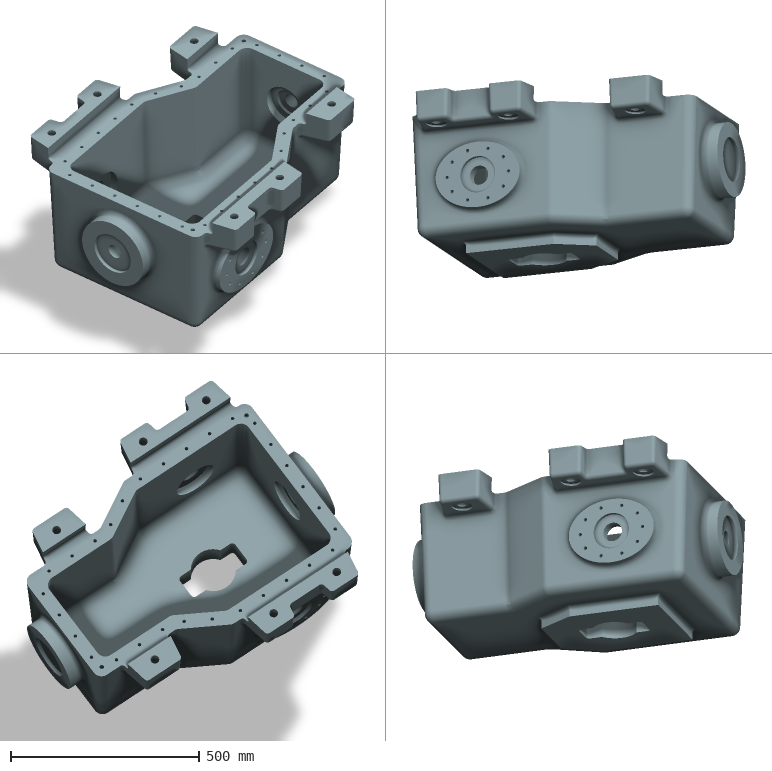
import cadquery as cq
import math


overall_width = 680.0
overall_length = 860.0

rim_length = 780.0
wide_half = 250.0
narrow_half = 175.5
wide_length = 400.0
neck_angle = 30.0
housing_height = 330.0
rim_width = 40.0
cavity_depth = 290.0
draft = 2.0
body_radius = 25.0
cast_radius = 10.0

lug_rise = 39.5
lug_tip_drop = 40.0
lug_step_offset = 20.0
lug_step_radius = 7.0
lug_flank_angle = 10.0
lug_bottom_angle = 5.0
lug_root_overlap = 20.0
rear_lug_y = (172.0, 311.0)
front_lug_y = (-351.0, -27.0)
front_lug_notch_y = (-242.5, -136.0)
notch_depth = 36.0
lug_hole_diameter = 23.0
lug_spotface_diameter = 55.0
lug_spotface_z = -40.0
lug_hole_points = [(226.0, 245.0), (300.0, -89.0), (300.0, -293.0)]

boss_root = 69.0

end_boss_diameter = 200.0
end_boss_z = -140.0
end_recess_diameter = 119.5
end_recess_depth = 10.0
end_hole_diameter = 40.0
end_bore_steps = [(119.5, 21.0), (80.0, 29.0)]
end_hole_web = 9.0

side_boss_length = 240.0
side_boss_height = 180.0
side_boss_half_span = 265.0
side_boss_y = -190.0
side_boss_z = -185.0
side_recess_diameter = 100.0
side_recess_depth = 10.0
side_hole_diameter = 52.5
side_bore_diameter = 119.5
side_bore_depth = 21.0
side_screw_diameter = 9.5
side_screw_depth = 15.0
side_screw_reach = 88.0
side_screw_offsets = [(73.0, 40.0), (29.0, 68.0)]

pad_thickness = 30.0
pad_half_width = 135.0
pad_y = (-275.0, -25.0, 75.0)
opening_y = -104.0
opening_diameter = 119.5
opening_slot_width = 70.5
opening_slot_length = 180.0

drill_point_angle = 118.0
rim_hole_diameter = 9.5
rim_hole_depth = 20.0
wide_row_count = 5
narrow_row_count = 3
front_pairs = 3
rear_pairs = 2
dowel_diameter = 12.0
dowel_points = [(-150.0, 364.0), (216.0, -365.0)]
row_pitch = 75.0
wide_row_start = -30.0
narrow_row_start = 320.0
neck_row_shift = 9.5
end_pitch = 74.0

joint_margin = 9.0
cut_overlap = 9.0

lugs = [
    (narrow_half, rear_lug_y, None),
    (wide_half, front_lug_y, front_lug_notch_y),
]

end_y = rim_length / 2
wide_end_y = -end_y + wide_length
neck_run = (wide_half - narrow_half) / math.tan(math.radians(neck_angle))
narrow_end_y = wide_end_y + neck_run
lug_reach = overall_width / 2 - wide_half
floor_thickness = housing_height - cavity_depth
lug_flank_slope = math.tan(math.radians(lug_flank_angle))
draft_slope = math.tan(math.radians(draft))
end_wall_y = end_y - rim_width + end_boss_z * draft_slope


def mirrored(points):
    """The points and their mirror images across the YZ plane."""
    return points + [(-x, y) for x, y in reversed(points)]


def symmetric(shape):
    """The shape joined with its mirror image across the YZ plane."""
    return shape.union(shape.mirror("YZ"))


def outline_points(inset):
    """Corners of the bottle-shaped rim outline with every side moved inward by the inset."""
    neck_shift = inset * math.tan(math.radians(neck_angle / 2))
    right_side = [
        (wide_half - inset, inset - end_y),
        (wide_half - inset, wide_end_y - neck_shift),
        (narrow_half - inset, narrow_end_y - neck_shift),
        (narrow_half - inset, end_y - inset),
    ]
    return mirrored(right_side)


def drafted_block(inset, depth):
    """Block below the rim with drafted walls, rounded upright edges and a rounded bottom edge."""
    block = (
        cq.Workplane("XY")
        .polyline(outline_points(inset))
        .close()
        .workplane(offset=-depth)
        .polyline(outline_points(inset + depth * draft_slope))
        .close()
        .loft(ruled=True, combine=True)
    )
    return block.edges("not >Z").fillet(body_radius)


def lug_notch(tip, notch_y):
    """Drafted clearance between the two arms of a lug, open toward +X."""
    depth = lug_rise + 2 * lug_tip_drop
    front, back = notch_y
    inner = tip - notch_depth
    flank = notch_depth * lug_flank_slope
    outline = [(inner, front), (tip, front - flank), (tip, back + flank), (inner, back)]
    return (
        cq.Workplane("XY", origin=(0, 0, lug_rise - depth))
        .polyline(outline)
        .close()
        .offset2D(depth * draft_slope, "intersection")
        .extrude(depth, taper=draft)
    )


def lug(rim_half, y_range, notch_y=None):
    """Lug on the +X side, with drafted sides, a sloping underside and a step down to the rim."""
    front, back = y_range
    root = rim_half - lug_root_overlap
    step = rim_half + lug_step_offset
    tip = rim_half + lug_reach
    tip_flank = (tip - step) * lug_flank_slope
    root_flank = (step - root) * lug_flank_slope
    root_drop = lug_tip_drop + (tip - root) * math.tan(math.radians(lug_bottom_angle))
    outline = [
        (root, front - root_flank),
        (tip, front + tip_flank),
        (tip, back - tip_flank),
        (root, back + root_flank),
    ]
    side_profile = [(root, lug_rise), (tip, lug_rise), (tip, -lug_tip_drop), (root, -root_drop)]
    block = (
        cq.Workplane("XY", origin=(0, 0, lug_rise))
        .polyline(outline)
        .close()
        .extrude(-lug_rise - root_drop, taper=draft)
    )
    if notch_y:
        block = block.cut(lug_notch(tip, notch_y))
    swept_profile = (
        cq.Workplane("XZ", origin=(0, back + root_flank, 0))
        .polyline(side_profile)
        .close()
        .extrude(back - front + 2 * root_flank)
    )
    block = block.intersect(swept_profile)
    outer_half = cq.selectors.BoxSelector((step, front, -lug_tip_drop), (tip, back, lug_rise))
    block = block.edges("not #Z").edges(outer_half).fillet(cast_radius)
    block = block.faces("<Z").edges().fillet(cast_radius)
    return block.cut(lug_step(rim_half, y_range))


def lug_step(rim_half, y_range):
    """Clearance above the rim on the +X side, rounded where it meets the lug."""
    front, back = y_range
    step = rim_half + lug_step_offset
    return (
        cq.Workplane("XY")
        .box(step, back - front + 2 * cut_overlap, lug_rise, centered=False)
        .edges("|Y and >X and <Z")
        .fillet(lug_step_radius)
        .translate((0, front - cut_overlap, 0))
    )


def end_boss():
    """Round boss on the +Y end, before it is joined to the wall."""
    return (
        cq.Workplane("XZ", origin=(0, overall_length / 2, end_boss_z))
        .circle(end_boss_diameter / 2)
        .extrude(boss_root)
    )


def side_boss():
    """Oval boss on the +X side, before it is joined to the wall."""
    return (
        cq.Workplane("YZ", origin=(side_boss_half_span, side_boss_y, side_boss_z))
        .ellipse(side_boss_length / 2, side_boss_height / 2)
        .extrude(-boss_root)
    )


def joined(shape, part, corner, opposite_corner):
    """The shape with the part added and the joint edges in the given box rounded."""
    region = cq.selectors.BoxSelector(corner, opposite_corner)
    return shape.union(part).edges(region).fillet(cast_radius)


def stepped_bore(plane, steps):
    """Round cutter of (diameter, depth) steps below the plane, starting a little above it."""
    cutter = cq.Workplane(plane)
    start = cutter.workplane(offset=cut_overlap)
    for diameter, depth in steps:
        cutter = cutter.union(start.circle(diameter / 2).extrude(-depth - cut_overlap))
    return cutter


def drilled_holes(plane, points, diameter, depth):
    """Blind holes with conical ends, going against the normal of the plane."""
    radius = diameter / 2
    tip_depth = depth + radius / math.tan(math.radians(drill_point_angle / 2))
    half_profile = [(0, 0), (radius, 0), (radius, -depth), (0, -tip_depth)]
    hole = cq.Workplane("XZ").polyline(half_profile).close().revolve(360, (0, 0), (0, 1)).val()
    return cq.Workplane(plane).pushPoints(points).eachpoint(hole, useLocalCoordinates=True)


def floor_pad():
    """Pad under the floor, narrowing toward +Y at the neck angle."""
    front, bend, back = pad_y
    back_half = pad_half_width - (back - bend) * math.tan(math.radians(neck_angle))
    points = mirrored([(pad_half_width, front), (pad_half_width, bend), (back_half, back)])
    height = pad_thickness + floor_thickness / 2
    return (
        cq.Workplane("XY", origin=(0, 0, -housing_height - pad_thickness))
        .polyline(points)
        .close()
        .extrude(height)
    )


def keyed_opening():
    """Round opening with a rounded slot across it, through the floor and the pad."""
    bottom = cq.Workplane("XY", origin=(0, opening_y, -housing_height - pad_thickness))
    height = pad_thickness + floor_thickness
    slot = bottom.rect(opening_slot_width, opening_slot_length).extrude(height)
    slot = slot.edges("|Z").fillet(cast_radius)
    return bottom.circle(opening_diameter / 2).extrude(height).union(slot)


def end_bores():
    """Outer recess and stepped inner bore of the +Y end."""
    face = cq.Plane((0, overall_length / 2, end_boss_z), (1, 0, 0), (0, 1, 0))
    wall = cq.Plane((0, end_wall_y, end_boss_z), (1, 0, 0), (0, -1, 0))
    recess = stepped_bore(face, [(end_recess_diameter, end_recess_depth)])
    return recess.union(stepped_bore(wall, end_bore_steps))


def end_hole():
    """Hole through the -Y end, continued across the cavity to a blind end in the +Y end."""
    front = -overall_length / 2
    back = overall_length / 2 - end_recess_depth - end_hole_web
    start = cq.Workplane("XZ", origin=(0, back, end_boss_z))
    return start.circle(end_hole_diameter / 2).extrude(back - front)


def side_bores():
    """Outer recess, through hole, inner bore and screw holes of the +X side."""
    face = cq.Plane((side_boss_half_span, side_boss_y, side_boss_z), (0, 1, 0), (1, 0, 0))
    wall_x = wide_half - rim_width + side_boss_z * draft_slope
    wall = cq.Plane((wall_x, side_boss_y, side_boss_z), (0, 1, 0), (-1, 0, 0))
    through = side_boss_half_span - wall_x + cut_overlap
    outer = [(side_recess_diameter, side_recess_depth), (side_hole_diameter, through)]
    cutter = stepped_bore(face, outer).union(stepped_bore(wall, [(side_bore_diameter, side_bore_depth)]))
    screw_points = [(-side_screw_reach, 0), (side_screw_reach, 0)]
    for along, up in side_screw_offsets:
        screw_points += [(along, up), (-along, up), (-along, -up), (along, -up)]
    return cutter.union(drilled_holes(face, screw_points, side_screw_diameter, side_screw_depth))


def lug_holes():
    """Through holes of the +X lugs with flat seats on their undersides."""
    seat = cq.Workplane("XY", origin=(0, 0, lug_spotface_z)).pushPoints(lug_hole_points)
    seats = seat.circle(lug_spotface_diameter / 2).extrude(-lug_tip_drop / 2)
    return seats.union(seat.circle(lug_hole_diameter / 2).extrude(lug_rise - lug_spotface_z))


def rim_hole_points():
    """Centers of the screw holes along the middle of the rim."""
    wide_x = wide_half - rim_width / 2
    narrow_x = narrow_half - rim_width / 2
    row_y = end_y - rim_width / 2
    right_side = [(wide_x, wide_row_start - i * row_pitch) for i in range(wide_row_count)]
    right_side += [(narrow_x, narrow_row_start - i * row_pitch) for i in range(narrow_row_count)]
    neck_shift = rim_width / 2 * math.tan(math.radians(neck_angle / 2))
    neck_x = (wide_x + narrow_x) / 2
    neck_y = (wide_end_y + narrow_end_y) / 2 - neck_shift
    angle = math.radians(neck_angle)
    for offset in (neck_row_shift - row_pitch / 2, neck_row_shift + row_pitch / 2):
        right_side.append((neck_x - offset * math.sin(angle), neck_y + offset * math.cos(angle)))
    right_side += [((i + 0.5) * end_pitch, -row_y) for i in range(front_pairs)]
    right_side += [((i + 0.5) * end_pitch, row_y) for i in range(rear_pairs)]
    return mirrored(right_side)


def add_to_side(shape, side):
    """The shape with the lugs and the oval boss of one side: 1 for +X, -1 for -X."""
    for rim_half, y_range, notch_y in lugs:
        part = lug(rim_half, y_range, notch_y)
        corner = (side * (rim_half - joint_margin), y_range[0] - joint_margin, -2 * lug_tip_drop)
        opposite = (side * rim_half, y_range[1] + joint_margin, -lug_step_radius)
        shape = joined(shape, part if side > 0 else part.mirror("YZ"), corner, opposite)
    part = side_boss()
    corner = (side * (wide_half - lug_root_overlap), side_boss_y - joint_margin, side_boss_z - joint_margin)
    opposite = (side * wide_half, side_boss_y + joint_margin, side_boss_z + joint_margin)
    return joined(shape, part if side > 0 else part.mirror("YZ"), corner, opposite)


def add_to_end(shape, end):
    """The shape with the round boss of one end: 1 for +Y, -1 for -Y."""
    part = end_boss()
    corner = (-joint_margin, end * (end_y - joint_margin), end_boss_z - joint_margin)
    opposite = (joint_margin, end * end_y, end_boss_z + joint_margin)
    return joined(shape, part if end > 0 else part.mirror("XZ"), corner, opposite)


def add_floor_pad(shape):
    """The shape with the pad under its floor."""
    reach = pad_half_width + joint_margin
    corner = (-reach, pad_y[0] - joint_margin, -housing_height - joint_margin)
    opposite = (reach, pad_y[-1] + joint_margin, -housing_height + joint_margin)
    return joined(shape, floor_pad(), corner, opposite)


body = drafted_block(0, housing_height)
for direction in (1, -1):
    body = add_to_side(body, direction)
    body = add_to_end(body, direction)
body = add_floor_pad(body)

body = body.cut(drafted_block(rim_width, cavity_depth))
body = body.cut(keyed_opening())
body = body.cut(end_bores()).cut(end_bores().mirror("XZ")).cut(end_hole())
body = body.cut(symmetric(side_bores()))

rim_plane = cq.Plane.XY()
body = body.cut(symmetric(lug_holes()))
body = body.cut(drilled_holes(rim_plane, rim_hole_points(), rim_hole_diameter, rim_hole_depth))
body = body.cut(drilled_holes(rim_plane, dowel_points, dowel_diameter, rim_hole_depth))

result = body